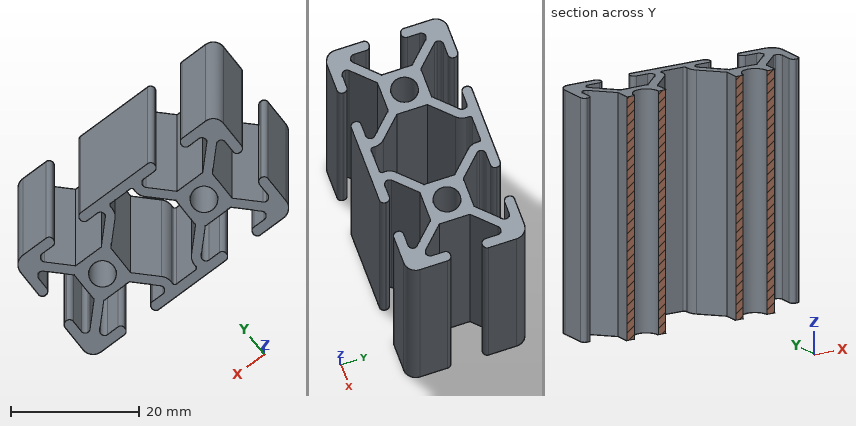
import cadquery as cq

bay = 20.0
length = 40.0
corner_radius = 2.0
flange = 1.65
slot_opening = 5.3
lip_radius = 0.75
cavity_width = 12.4
cavity_radius = 0.75
core = 7.2
bore_diameter = 4.3
rib = 1.5
chamber_corner_radius = 0.4

bay_center = bay / 2
half_core = core / 2
half_opening = slot_opening / 2
half_cavity = cavity_width / 2
lip_back = bay / 2 - flange
rib_offset = rib / 2 * 2**0.5
bend_radius = cavity_radius + rib

lip_tip = [(half_opening, lip_back), (half_opening, bay / 2)]


def prism(points):
    """Full-length solid with a closed polygon as its cross-section."""
    return cq.Workplane("XY").polyline(points).close().extrude(length)


def round_edges(body, points, radius):
    """Fillet the Z edges of body that pass through the given XY points."""
    reach = 0.005
    for x, y in points:
        box = cq.selectors.BoxSelector((x - reach, y - reach, 0), (x + reach, y + reach, length))
        body = body.edges(box).fillet(radius)
    return body


def mirror_x(points):
    return [(-x, y) for x, y in points]


def t_slot():
    """T-slot void opening toward +Y, with the bay centre at the origin."""
    hub_corner = (half_core - rib_offset, half_core)
    cavity_corners = [(half_cavity, half_cavity + rib_offset), (half_cavity, lip_back)]
    right_side = [hub_corner] + cavity_corners + lip_tip
    void = prism(right_side + mirror_x(right_side)[::-1])
    return round_edges(void, cavity_corners + mirror_x(cavity_corners), cavity_radius)


def turn(points, quarter_turns):
    """Rotate points counterclockwise about the origin in steps of 90 degrees."""
    for _ in range(quarter_turns):
        points = [(-y, x) for x, y in points]
    return points


def shift(points, dx):
    return [(x + dx, y) for x, y in points]


def chamber():
    """Closed void between the two hubs, centred on the origin."""
    wall = bay_center - half_cavity - rib
    hub_face = bay_center - half_core
    bend = (wall, bay_center - wall - rib_offset)
    corner = (wall, lip_back)
    hub_corner = (hub_face, half_core - rib_offset)
    upper_right = [hub_corner, bend, corner]
    upper = upper_right + mirror_x(upper_right)[::-1]
    lower = [(-x, -y) for x, y in upper]
    void = prism(upper + lower)
    for (x, y), radius in ((bend, bend_radius), (corner, chamber_corner_radius)):
        void = round_edges(void, [(x, y), (-x, y), (-x, -y), (x, -y)], radius)
    return void


result = cq.Workplane("XY").rect(2 * bay, bay).extrude(length)
result = result.edges("|Z").fillet(corner_radius)

slots = [
    (-bay_center, 0), (-bay_center, 1), (-bay_center, 2),
    (bay_center, 0), (bay_center, 2), (bay_center, 3),
]
for x, quarter_turns in slots:
    void = t_slot().rotate((0, 0, 0), (0, 0, 1), 90 * quarter_turns).translate((x, 0, 0))
    result = result.cut(void)
    lip_edges = turn(lip_tip + mirror_x(lip_tip), quarter_turns)
    result = round_edges(result, shift(lip_edges, x), lip_radius)

result = result.cut(chamber())
bores = cq.Workplane("XY").pushPoints([(-bay_center, 0), (bay_center, 0)])
result = result.cut(bores.circle(bore_diameter / 2).extrude(length))